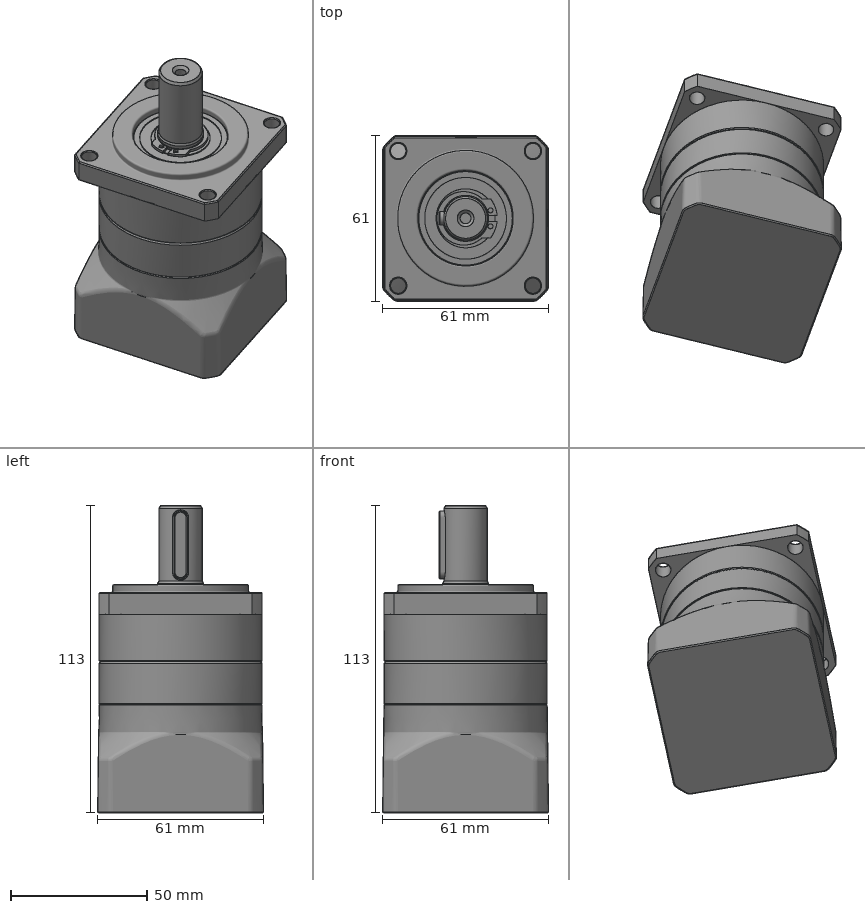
import cadquery as cq

TOTAL_HEIGHT = 113.0
BASE_WIDTH = 61.0
BODY_DIAMETER = 60.0

ADAPTER_SHOULDER_Z = 29.5
ADAPTER_TOP_Z = 40.0
RING_TOP_Z = 55.7
FLANGE_BOTTOM_Z = 73.0
FLANGE_TOP_Z = 81.1
PILOT_TOP_Z = 84.0
SEAM_CHAMFER = 0.3
RING_TOP_CHAMFER = 0.7

DRAFT_ANGLE = 0.7
ADAPTER_CORNER_RADIUS = 40.0
ADAPTER_CORNER_FILLET = 2.8
SHOULDER_FILLET = 2.1
SHOULDER_TIP_RADIUS = 22.6
NECK_ROOT_RADIUS = 30.2
NECK_ROOT_FILLET = 0.6
BASE_CHAMFER = 0.5
NECK_BOTTOM_Z = 28.9

FLANGE_CORNER_RADIUS = 39.9
FLANGE_CHAMFER = 0.5
PILOT_DIAMETER = 50.0
PILOT_FILLET = 0.7
PILOT_ROOT_FILLET = 0.5
MOUNT_HOLE_DIAMETER = 5.6
MOUNT_HOLE_CHAMFER = 0.3
MOUNT_HOLE_OFFSET = 24.7

BEARING_OUTER_RADIUS = 17.5
BEARING_BORE_RADIUS = 8.5
OUTER_RING_INNER_RADIUS = 15.0
INNER_RING_OUTER_RADIUS = 10.8
BEARING_HEIGHT = 10.1
BEARING_TOP_Z = 81.9
SHIELD_RECESS = 0.3
BORE_FILLET = 0.7
OUTER_RING_CHAMFER = 0.3

CLIP_THICKNESS = 1.0
CLIP_INNER_RADIUS = 8.1
CLIP_OUTER_RADIUS = 9.8
CLIP_OFFSET = 0.7
CLIP_EAR_RADIUS = 11.6
CLIP_EAR_SPAN = 14.4
CLIP_GAP = 2.1
CLIP_HOLE_DIAMETER = 1.8
CLIP_HOLE_X = 9.2
CLIP_HOLE_Y = 2.9

SHAFT_RADIUS = 8.0
SHAFT_CHAMFER_WIDTH = 0.7
SHAFT_CHAMFER_HEIGHT = 1.0
COLLAR_TOP_Z = 85.2
COLLAR_CHAMFER_HEIGHT = 0.8
CENTRE_HOLE_DIAMETER = 4.0
CENTRE_HOLE_MOUTH_DIAMETER = 6.1
CENTRE_HOLE_DEPTH = 15.8

KEY_WIDTH = 5.0
KEY_LENGTH = 25.0
KEY_MIDDLE_Z = 98.5
KEY_OUTER_REACH = 9.8
KEY_CHAMFER = 0.5
KEYWAY_FLOOR = 5.0
KEYWAY_CLEARANCE = 0.5

HEIGHT_TOLERANCE = 0.1
CORNER_EDGES_LOW_Z = 11.3
CORNER_EDGES_HIGH_Z = 24.9
SHOULDER_RIM_LOW_Z = 18.6
SHOULDER_RIM_HIGH_Z = 30.5

BODY_RADIUS = BODY_DIAMETER / 2
BEARING_BOTTOM_Z = BEARING_TOP_Z - BEARING_HEIGHT
CLIP_TOP_Z = BEARING_TOP_Z + CLIP_THICKNESS


def cylinder(radius, bottom, top):
    return cq.Workplane("XY").workplane(offset=bottom).circle(radius).extrude(top - bottom)


def tube(outer_radius, inner_radius, bottom, top):
    return cylinder(outer_radius, bottom, top).cut(cylinder(inner_radius, bottom, top))


def edges_between(body, low_z, high_z):
    """Edges of the body whose middles lie between the two heights."""
    return body.edges(cq.selectors.BoxSelector(
        (-BASE_WIDTH, -BASE_WIDTH, low_z), (BASE_WIDTH, BASE_WIDTH, high_z)))


def edges_at_height(body, height):
    return edges_between(body, height - HEIGHT_TOLERANCE, height + HEIGHT_TOLERANCE)


def make_adapter():
    """Drafted square base with a 45-degree conical shoulder that runs up to a round neck."""
    tip_z = ADAPTER_SHOULDER_Z + NECK_ROOT_RADIUS - SHOULDER_TIP_RADIUS
    square = cq.Workplane("XY").rect(BASE_WIDTH, BASE_WIDTH).extrude(tip_z, taper=DRAFT_ANGLE)
    corners = cq.Workplane("XY").circle(ADAPTER_CORNER_RADIUS).extrude(tip_z, taper=DRAFT_ANGLE)
    base = square.intersect(corners)
    base = edges_between(base, CORNER_EDGES_LOW_Z, CORNER_EDGES_HIGH_Z).fillet(ADAPTER_CORNER_FILLET)

    shoulder_foot_radius = SHOULDER_TIP_RADIUS + tip_z
    shoulder = (
        cq.Workplane("XZ")
        .polyline([(0, 0), (shoulder_foot_radius, 0), (SHOULDER_TIP_RADIUS, tip_z), (0, tip_z)])
        .close()
        .revolve(360, (0, 0, 0), (0, 1, 0))
    )
    base = base.intersect(shoulder)
    base = base.faces("<Z").edges().chamfer(BASE_CHAMFER)
    base = edges_between(base, SHOULDER_RIM_LOW_Z, SHOULDER_RIM_HIGH_Z).fillet(SHOULDER_FILLET)

    neck_top_radius = BODY_RADIUS - SEAM_CHAMFER
    neck = (
        cq.Workplane("XZ")
        .moveTo(0, NECK_BOTTOM_Z)
        .lineTo(NECK_ROOT_RADIUS, NECK_BOTTOM_Z)
        .lineTo(NECK_ROOT_RADIUS, ADAPTER_SHOULDER_Z)
        .lineTo(BODY_RADIUS, ADAPTER_TOP_Z - SEAM_CHAMFER)
        .lineTo(neck_top_radius, ADAPTER_TOP_Z)
        .lineTo(0, ADAPTER_TOP_Z)
        .close()
        .revolve(360, (0, 0, 0), (0, 1, 0))
    )
    adapter_body = base.union(neck)
    return edges_at_height(adapter_body, ADAPTER_SHOULDER_Z).fillet(NECK_ROOT_FILLET)


def make_ring_gear():
    """Plain round middle section with a chamfer at both seams."""
    ring = cylinder(BODY_RADIUS, ADAPTER_TOP_Z, RING_TOP_Z)
    ring = ring.faces(">Z").edges().chamfer(RING_TOP_CHAMFER)
    return ring.faces("<Z").edges().chamfer(SEAM_CHAMFER)


def make_housing():
    """Round body, square mounting flange and pilot, bored for the bearing."""
    body = cylinder(BODY_RADIUS, RING_TOP_Z, FLANGE_BOTTOM_Z)
    body = body.faces("<Z").edges().chamfer(SEAM_CHAMFER)

    flange_height = FLANGE_TOP_Z - FLANGE_BOTTOM_Z
    flange = (
        cq.Workplane("XY")
        .workplane(offset=FLANGE_BOTTOM_Z)
        .rect(BODY_DIAMETER, BODY_DIAMETER)
        .extrude(flange_height)
        .intersect(cylinder(FLANGE_CORNER_RADIUS, FLANGE_BOTTOM_Z, FLANGE_TOP_Z))
    )
    flange = flange.faces(">Z").edges().chamfer(FLANGE_CHAMFER)
    holes = (
        flange.faces(">Z")
        .workplane(origin=(0, 0, FLANGE_TOP_Z))
        .rect(2 * MOUNT_HOLE_OFFSET, 2 * MOUNT_HOLE_OFFSET, forConstruction=True)
    )
    flange = holes.vertices().cskHole(
        MOUNT_HOLE_DIAMETER, MOUNT_HOLE_DIAMETER + 2 * MOUNT_HOLE_CHAMFER, 90)

    pilot = cylinder(PILOT_DIAMETER / 2, FLANGE_TOP_Z, PILOT_TOP_Z)
    pilot = pilot.faces(">Z").edges().fillet(PILOT_FILLET)

    housing = body.union(flange).union(pilot)
    pilot_root = cq.selectors.RadiusNthSelector(1)
    housing = edges_at_height(housing, FLANGE_TOP_Z).edges(pilot_root).fillet(PILOT_ROOT_FILLET)
    housing = housing.cut(cylinder(BEARING_OUTER_RADIUS, BEARING_BOTTOM_Z, PILOT_TOP_Z))
    bore_rim = cq.selectors.RadiusNthSelector(0)
    return housing.faces(">Z").edges(bore_rim).fillet(BORE_FILLET)


def make_outer_ring():
    ring = cylinder(BEARING_OUTER_RADIUS, BEARING_BOTTOM_Z, BEARING_TOP_Z)
    ring = ring.faces(">Z").edges().chamfer(OUTER_RING_CHAMFER)
    return ring.cut(cylinder(OUTER_RING_INNER_RADIUS, BEARING_BOTTOM_Z, BEARING_TOP_Z))


def make_inner_ring():
    return tube(INNER_RING_OUTER_RADIUS, BEARING_BORE_RADIUS, BEARING_BOTTOM_Z, BEARING_TOP_Z)


def make_shield():
    """Sealed filling between the two bearing rings, slightly recessed at the top."""
    return tube(OUTER_RING_INNER_RADIUS, INNER_RING_OUTER_RADIUS,
                BEARING_BOTTOM_Z, BEARING_TOP_Z - SHIELD_RECESS)


def make_retaining_ring():
    """Open eccentric ring with two drilled ears beside the gap at +X."""
    crescent = cylinder(CLIP_OUTER_RADIUS, BEARING_TOP_Z, CLIP_TOP_Z).translate((-CLIP_OFFSET, 0, 0))
    plane = cq.Workplane("XY").workplane(offset=BEARING_TOP_Z)
    ear_block = (
        plane.center(CLIP_EAR_RADIUS / 2, 0)
        .rect(CLIP_EAR_RADIUS, CLIP_EAR_SPAN)
        .extrude(CLIP_THICKNESS)
    )
    ears = cylinder(CLIP_EAR_RADIUS, BEARING_TOP_Z, CLIP_TOP_Z).intersect(ear_block)
    gap = plane.center(CLIP_EAR_RADIUS, 0).rect(2 * CLIP_EAR_RADIUS, CLIP_GAP).extrude(CLIP_THICKNESS)
    ear_holes = (
        plane.pushPoints([(CLIP_HOLE_X, CLIP_HOLE_Y), (CLIP_HOLE_X, -CLIP_HOLE_Y)])
        .circle(CLIP_HOLE_DIAMETER / 2)
        .extrude(CLIP_THICKNESS)
    )
    bore = cylinder(CLIP_INNER_RADIUS, BEARING_TOP_Z, CLIP_TOP_Z)
    return crescent.union(ears).cut(gap).cut(ear_holes).cut(bore)


def round_ended_bar(width, length, outer_reach):
    """Bar along Z with round ends, from the keyway floor out to outer_reach on the -X side."""
    return (
        cq.Workplane("YZ")
        .workplane(offset=-outer_reach)
        .center(0, KEY_MIDDLE_Z)
        .slot2D(length, width, 90)
        .extrude(outer_reach - KEYWAY_FLOOR)
    )


def make_shaft():
    """Output shaft with bearing seat, retaining-ring groove, keyway and threaded-hole bore."""
    shaft = (
        cq.Workplane("XZ")
        .moveTo(0, BEARING_BOTTOM_Z)
        .lineTo(BEARING_BORE_RADIUS, BEARING_BOTTOM_Z)
        .lineTo(BEARING_BORE_RADIUS, BEARING_TOP_Z)
        .lineTo(CLIP_INNER_RADIUS, BEARING_TOP_Z)
        .lineTo(CLIP_INNER_RADIUS, CLIP_TOP_Z)
        .lineTo(BEARING_BORE_RADIUS, CLIP_TOP_Z)
        .lineTo(BEARING_BORE_RADIUS, COLLAR_TOP_Z - COLLAR_CHAMFER_HEIGHT)
        .lineTo(SHAFT_RADIUS, COLLAR_TOP_Z)
        .lineTo(SHAFT_RADIUS, TOTAL_HEIGHT - SHAFT_CHAMFER_HEIGHT)
        .lineTo(SHAFT_RADIUS - SHAFT_CHAMFER_WIDTH, TOTAL_HEIGHT)
        .lineTo(0, TOTAL_HEIGHT)
        .close()
        .revolve(360, (0, 0, 0), (0, 1, 0))
    )
    shaft = shaft.cut(round_ended_bar(
        KEY_WIDTH + 2 * KEYWAY_CLEARANCE, KEY_LENGTH + 2 * KEYWAY_CLEARANCE, KEY_OUTER_REACH))
    return shaft.faces(">Z").workplane(origin=(0, 0, TOTAL_HEIGHT)).cskHole(
        CENTRE_HOLE_DIAMETER, CENTRE_HOLE_MOUTH_DIAMETER, 90, CENTRE_HOLE_DEPTH)


def make_key():
    key = round_ended_bar(KEY_WIDTH, KEY_LENGTH, KEY_OUTER_REACH)
    return key.faces("<X").edges().chamfer(KEY_CHAMFER)


adapter = make_adapter()
ring_gear = make_ring_gear()
housing = make_housing()
outer_ring = make_outer_ring()
inner_ring = make_inner_ring()
shield = make_shield()
retaining_ring = make_retaining_ring()
shaft = make_shaft()
key = make_key()

result = cq.Compound.makeCompound([
    adapter.val(),
    ring_gear.val(),
    housing.val(),
    outer_ring.val(),
    inner_ring.val(),
    shield.val(),
    retaining_ring.val(),
    shaft.val(),
    key.val(),
])